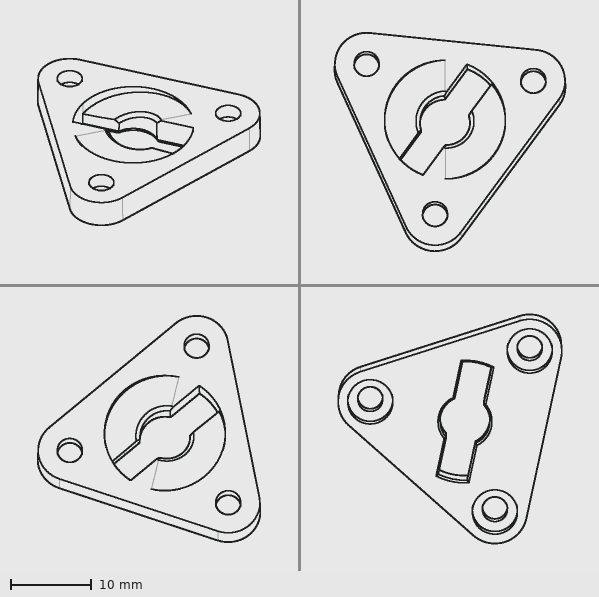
import cadquery as cq
import math

draft_angle = 1.0

thickness = 3.6
corner_radius = 4.0
hole_circle_radius = 12.0
corner_angles = (30, 150, 270)

hole_diameter = 3.1
head_diameter = 5.6
head_depth = 1.75

bore_radius = 3.1
slot_width = 3.65
recess_radius = 7.5
flare_height = 0.5
flare_width = 0.25

ramp_angles = (0, 180)
ramp_start_angle = 36.0
ramp_end_angle = 180.0
ramp_depth = thickness / 2
ramp_lead_angle = 10.0
lip_chamfer = 0.5
lip_radius = bore_radius + lip_chamfer


def polar(radius, degrees):
    angle = math.radians(degrees)
    return (radius * math.cos(angle), radius * math.sin(angle))


def make_plate():
    """Drafted triangle with rounded corners concentric with the screw holes."""
    core_triangle = [polar(hole_circle_radius, angle) for angle in corner_angles]
    outline = cq.Workplane("XY").polyline(core_triangle).close().offset2D(corner_radius)
    return outline.extrude(thickness, taper=draft_angle)


def make_screw_holes():
    """Through holes with wider head pockets opening on the underside."""
    centres = [polar(hole_circle_radius, angle) for angle in corner_angles]
    holes = cq.Workplane("XY").pushPoints(centres).circle(hole_diameter / 2).extrude(thickness)
    heads = cq.Workplane("XY").pushPoints(centres).circle(head_diameter / 2).extrude(head_depth)
    return holes.union(heads)


def keyhole_prism(growth, height, bore_taper, slot_taper):
    """Keyhole outline grown sideways and raised from the underside with tapered walls."""
    underside = cq.Workplane("XY")
    slot_length = 3 * recess_radius
    bore = underside.circle(bore_radius + growth).extrude(height, taper=bore_taper)
    slot = underside.rect(slot_length, slot_width + 2 * growth).extrude(height, taper=slot_taper)
    slot_ends = underside.circle(recess_radius + growth).extrude(height, taper=bore_taper)
    return bore.union(slot.intersect(slot_ends))


def make_keyhole():
    """Through keyhole with a short steep flare on the underside."""
    flare_angle = math.degrees(math.atan2(flare_width, flare_height))
    opening = keyhole_prism(0, thickness, 0, -draft_angle)
    flare = keyhole_prism(flare_width, flare_height, flare_angle, flare_angle)
    return opening.union(flare)


def ramp_helix(radius, drop):
    """Edge that falls counter-clockwise along a ramp, lowered by a further drop."""
    slope = ramp_depth / (ramp_end_angle - ramp_start_angle)
    turn = ramp_end_angle - ramp_start_angle + ramp_lead_angle
    helix = cq.Wire.makeHelix(slope * 360, slope * turn, radius, lefthand=True).Edges()[0]
    helix = helix.rotate(cq.Vector(0, 0, 0), cq.Vector(0, 0, 1), ramp_end_angle)
    return helix.translate(cq.Vector(0, 0, thickness - ramp_depth - drop))


def make_space_above(upper_edge, lower_edge):
    """Solid standing on the ruled surface between two helical edges."""
    surface = cq.Face.makeRuledSurface(upper_edge, lower_edge)
    return cq.Workplane(cq.Solid.extrudeLinear(surface, cq.Vector(0, 0, thickness)))


def make_ramp_cutters():
    """Spaces above one ramp floor and above the bevel along its inner edge."""
    lip = ramp_helix(lip_radius, 0)
    floor_space = make_space_above(ramp_helix(recess_radius, 0), lip)
    bevel_space = make_space_above(lip, ramp_helix(bore_radius, lip_chamfer))
    return (floor_space, bevel_space)


result = make_plate().cut(make_screw_holes()).cut(make_keyhole())
for cutter in make_ramp_cutters():
    for angle in ramp_angles:
        result = result.cut(cutter.rotate((0, 0, 0), (0, 0, 1), angle))